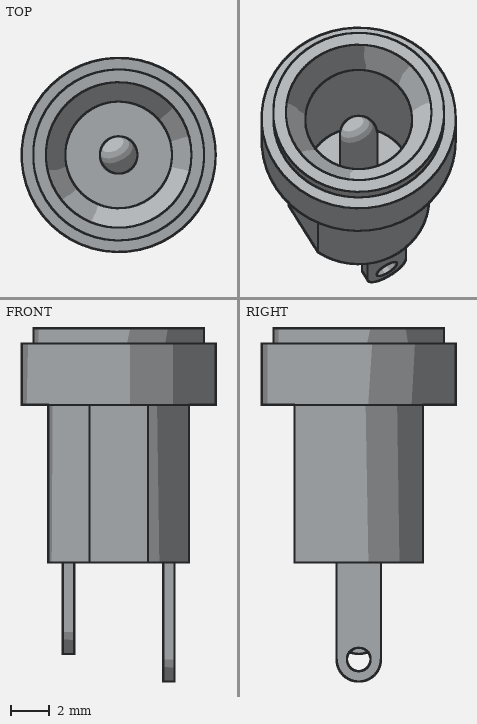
import cadquery as cq

total_height = 18.2
flange_top = 17.42
flange_bottom = 14.25
body_bottom = 6.13
short_terminal_tip = 1.42

flange_radius = 5.0
rim_radius = 4.4
body_radius = 3.64
body_flat_width = 6.62

bore_radius = 2.75
bore_depth = 9.1
countersink_depth = 1.0
mouth_radius = bore_radius + countersink_depth
contact_radius = 0.96
contact_tip_depth = 2.13

terminal_thickness = 0.6
terminal_offset = 2.58
terminal_width = 2.3
terminal_hole_diameter = 1.2

bore_floor = total_height - bore_depth


def cylinder(radius, bottom, top):
    return cq.Workplane("XY").workplane(offset=bottom).circle(radius).extrude(top - bottom)


def make_housing():
    """Round flange and rim on a body with flats facing +Y and -Y."""
    body = cylinder(body_radius, body_bottom, flange_bottom)
    flats = (
        cq.Workplane("XY")
        .workplane(offset=body_bottom)
        .rect(2 * body_radius, body_flat_width)
        .extrude(flange_bottom - body_bottom)
    )
    flange = cylinder(flange_radius, flange_bottom, flange_top)
    rim = cylinder(rim_radius, flange_top, total_height)
    return body.intersect(flats).union(flange).union(rim)


def make_socket():
    """Blind bore with a conical mouth, as a solid to cut away."""
    return (
        cq.Workplane("XZ")
        .moveTo(0, bore_floor)
        .lineTo(bore_radius, bore_floor)
        .lineTo(bore_radius, total_height - countersink_depth)
        .lineTo(mouth_radius, total_height)
        .lineTo(0, total_height)
        .close()
        .revolve(360, (0, 0, 0), (0, 1, 0))
    )


def make_contact():
    """Centre pin with a hemispherical tip."""
    dome_center = total_height - contact_tip_depth - contact_radius
    dome = cq.Workplane("XY").sphere(contact_radius).translate((0, 0, dome_center))
    return cylinder(contact_radius, bore_floor, dome_center).union(dome)


def make_terminal(x_center, tip):
    """Flat tab with a rounded end and a hole concentric with the rounding."""
    end_radius = terminal_width / 2
    hole_height = tip + end_radius
    return (
        cq.Workplane("YZ")
        .workplane(offset=x_center - terminal_thickness / 2)
        .moveTo(-end_radius, body_bottom)
        .lineTo(-end_radius, hole_height)
        .threePointArc((0, tip), (end_radius, hole_height))
        .lineTo(end_radius, body_bottom)
        .close()
        .moveTo(0, hole_height)
        .circle(terminal_hole_diameter / 2)
        .extrude(terminal_thickness)
    )


result = make_housing().cut(make_socket()).union(make_contact())
for x_center, tip in ((-terminal_offset, short_terminal_tip), (terminal_offset, 0.0)):
    result = result.union(make_terminal(x_center, tip))